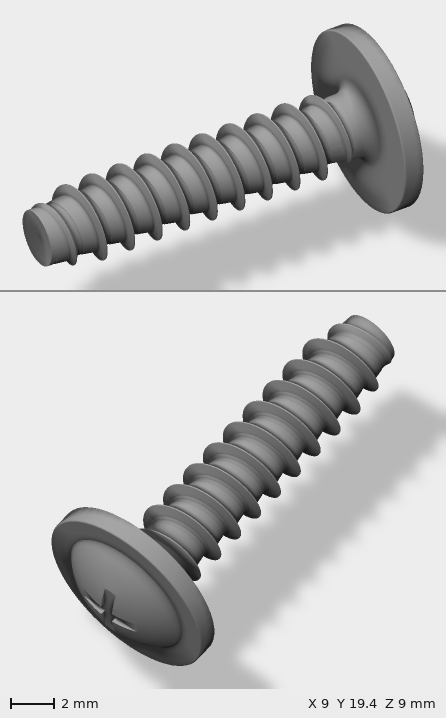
import cadquery as cq
import math


flange_radius = 4.5
flange_thickness = 1.0
flange_edge_fillet = 0.08
dome_radius = 3.32
dome_height = 1.455
slot_width = 0.64
head_height = 2.44
slot_depth = 0.28

shank_length = 17.0
neck_radius = 1.57
neck_fillet = 0.6
neck_length = 1.0
core_radius = 1.37
core_start = 2.0
tip_dish_depth = 0.16

crest_radius = 2.0
pitch = 1.46
thread_start = 0.93
start_angle = -math.pi / 2
neck_share = 0.3
tip_fade_end = 11.0
head_fade_turns = 1.0
tip_fade_turns = 1.5
lowest_share = -0.1
crest_half_width = 0.03
root_embed = 0.1
flare_width = 0.42
flare_height = 0.11
upper_flank_width = 0.21
lower_flank_width = 0.18
ramp_height = 0.15
ramp_end_height = 0.03
ramp_length = 0.9

stretch_turns = 0.5
stretch_count = 23
points_per_stretch = 12


def head_and_shank():
    """Revolved body: domed flange, filleted neck, taper and cylindrical core."""
    dome_sphere_radius = (dome_radius**2 + dome_height**2) / (2 * dome_height)
    dome_top = flange_thickness + dome_height
    dome_mid_radius = dome_radius / 2
    dome_mid_drop = dome_sphere_radius - math.sqrt(dome_sphere_radius**2 - dome_mid_radius**2)
    fillet_mid = neck_fillet * (1 - math.sqrt(0.5))
    edge = flange_edge_fillet
    edge_mid = edge * (1 - math.sqrt(0.5))
    outline = (
        cq.Workplane("XY")
        .moveTo(0, dome_top)
        .threePointArc((dome_mid_radius, dome_top - dome_mid_drop), (dome_radius, flange_thickness))
        .lineTo(flange_radius - edge, flange_thickness)
        .threePointArc(
            (flange_radius - edge_mid, flange_thickness - edge_mid),
            (flange_radius, flange_thickness - edge),
        )
        .lineTo(flange_radius, edge)
        .threePointArc((flange_radius - edge_mid, edge_mid), (flange_radius - edge, 0))
        .lineTo(neck_radius + neck_fillet, 0)
        .threePointArc((neck_radius + fillet_mid, -fillet_mid), (neck_radius, -neck_fillet))
        .lineTo(neck_radius, -neck_length)
        .lineTo(core_radius, -core_start)
        .lineTo(core_radius, -shank_length)
        .lineTo(0, -shank_length)
        .close()
    )
    return outline.revolve(360, (0, 0, 0), (0, 1, 0))


def cross_slots():
    """Two crossing straight slots over the top of the dome."""
    slot = cq.Workplane("XY").box(2 * dome_radius, 2 * slot_depth, slot_width)
    cross = slot.union(slot.rotate((0, 0, 0), (0, 1, 0), 90))
    return cross.translate((0, head_height, 0))


def thread_fade(turn):
    """Share of the full thread height at a turn: rises at the neck, sinks into the core at the tip."""
    head_phase = min(1, turn / head_fade_turns)
    head_share = neck_share + (1 - neck_share) * math.sin(math.pi / 2 * head_phase)
    tip_share = (tip_fade_end - turn) / tip_fade_turns
    return max(lowest_share, min(head_share, tip_share, 1))


def thread_edge(offset, height, first_turn):
    """One stretch of a right-hand helical edge, offset toward the tip from the crest."""
    points = []
    for step in range(points_per_stretch + 1):
        turn = first_turn + stretch_turns * step / points_per_stretch
        angle = start_angle + 2 * math.pi * turn
        faded_height = height * thread_fade(turn) if height > 0 else height
        radius = core_radius + faded_height
        depth = thread_start + pitch * turn + offset
        points.append(cq.Vector(radius * math.cos(angle), -depth, radius * math.sin(angle)))
    return cq.Edge.makeSpline(points)


def thread_cap(edges, position):
    """Flat end of the ridge across one end (0 or 1) of its edges."""
    corners = [edge.positionAt(position) for edge in edges]
    return cq.Face.makeFromWires(cq.Wire.makePolygon(corners, close=True))


def thread_ridge():
    """Helical ridge with a narrow crest and a core ramp that falls away toward the tip."""
    crest_height = crest_radius - core_radius
    profile = [
        (-flare_width, -root_embed),
        (-upper_flank_width, flare_height),
        (-crest_half_width, crest_height),
        (crest_half_width, crest_height),
        (lower_flank_width, ramp_height),
        (ramp_length, ramp_end_height),
        (ramp_length, -root_embed),
    ]
    stretches = []
    for number in range(stretch_count):
        first_turn = number * stretch_turns
        stretches.append([thread_edge(offset, height, first_turn) for offset, height in profile])
    faces = [thread_cap(stretches[0], 0), thread_cap(stretches[-1], 1)]
    for edges in stretches:
        for index, edge in enumerate(edges):
            faces.append(cq.Face.makeRuledSurface(edges[index - 1], edge))
    return cq.Workplane(cq.Solid.makeSolid(cq.Shell.makeShell(faces)))


def tip_trim():
    """Block beyond the flat tip that removes the thread run-out."""
    return (
        cq.Workplane("XZ", origin=(0, -shank_length, 0))
        .circle(flange_radius)
        .extrude(2 * pitch)
    )


def tip_dish():
    """Shallow conical hollow in the end of the shank."""
    tip_center = cq.Vector(0, -shank_length, 0)
    toward_head = cq.Vector(0, 1, 0)
    return cq.Workplane(cq.Solid.makeCone(core_radius, 0, tip_dish_depth, tip_center, toward_head))


ridge = thread_ridge().cut(tip_trim())
screw = head_and_shank().cut(cross_slots()).union(ridge).cut(tip_dish())
result = screw.solids()